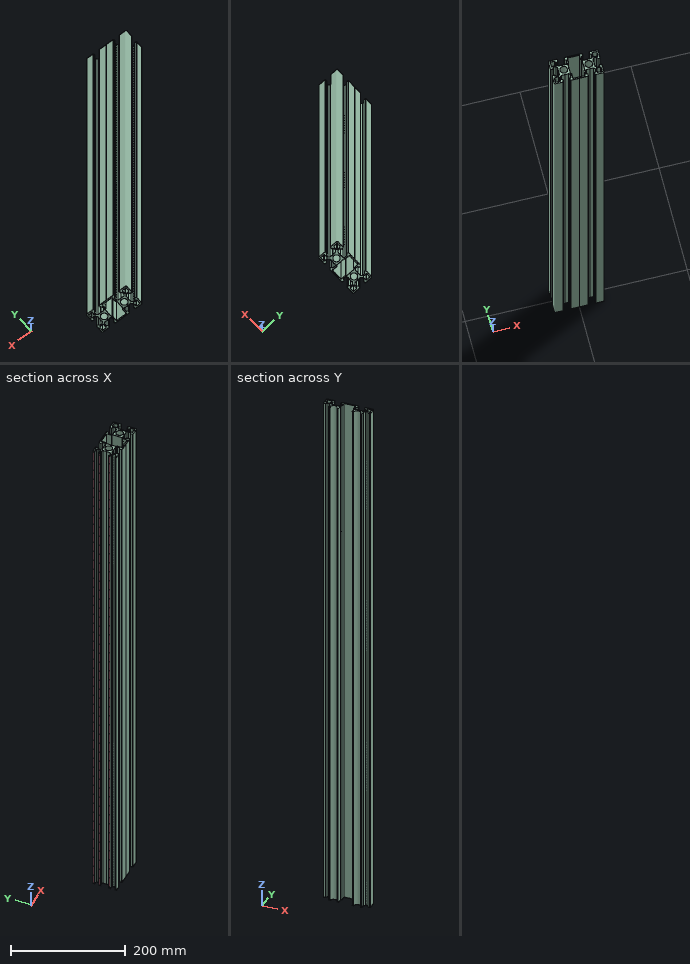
import cadquery as cq

length = 1000.0
width = 90.0
depth = 45.0
corner_radius = 2.0

slot_x = width / 4
slot_mouth = 12.0
mouth_chamfer = 1.0
lip_edge = 4.5
lip_root = 6.0
slot_width = 18.0
slot_depth = 13.0
slot_floor_chamfer = 2.5

groove_width = 0.5
groove_depth = 0.17

bore_diameter = 13.0
corner_cavity = 8.5
corner_cavity_chamfer = 1.0
corner_wall = 3.0
chamber_height = 40.0
chamber_waist_height = 20.0
chamber_waist_width = 26.0
chamber_neck_width = 22.0


def prism(points):
    """Full-length prism with the given outline."""
    return cq.Workplane("XY").polyline(points).close().extrude(length)


def bar(x_size, y_size):
    """Full-length rectangular bar centred on the Z axis."""
    return cq.Workplane("XY").rect(x_size, y_size).extrude(length)


def slot_cutter():
    """T-slot for a face at y = 0, opening toward +Y, with a V-groove in its floor."""
    mouth = slot_mouth / 2
    half = slot_width / 2
    right = [
        (groove_width / 2, -slot_depth),
        (half - slot_floor_chamfer, -slot_depth),
        (half, -slot_depth + slot_floor_chamfer),
        (half, -lip_root),
        (mouth, -lip_edge),
        (mouth, -mouth_chamfer),
        (mouth + mouth_chamfer, 0),
    ]
    left = [(-x, y) for x, y in reversed(right)]
    groove_tip = (0, -slot_depth - groove_depth)
    return prism([groove_tip] + right + left)


def groove_cutter():
    """V-groove for a face at y = 0."""
    half = groove_width / 2
    return prism([(-half, 0), (half, 0), (0, -groove_depth)])


def corner_cavity_cutter():
    """Square cavity centred on the Z axis, chamfered except at its +X +Y corner."""
    half = corner_cavity / 2
    inner = half - corner_cavity_chamfer
    return prism(
        [
            (half, half),
            (-inner, half),
            (-half, inner),
            (-half, -inner),
            (-inner, -half),
            (inner, -half),
            (half, -inner),
        ]
    )


def place(cutter, angle, x, y):
    """Turn a cutter about Z, then move it to its place."""
    return cutter.rotate((0, 0, 0), (0, 0, 1), angle).translate((x, y, 0))


result = bar(width, depth).edges("|Z").fillet(corner_radius)

for angle, side in ((0, 1), (180, -1)):
    long_face_y = side * depth / 2
    short_face_x = side * width / 2
    result = result.cut(place(groove_cutter(), angle, 0, long_face_y))
    for x in (-slot_x, slot_x):
        result = result.cut(place(slot_cutter(), angle, x, long_face_y))
    result = result.cut(place(slot_cutter(), angle - 90, short_face_x, 0))

result = result.cut(bar(chamber_neck_width, chamber_height))
result = result.cut(bar(chamber_waist_width, chamber_waist_height))

bores = cq.Workplane("XY").pushPoints([(-slot_x, 0), (slot_x, 0)]).circle(bore_diameter / 2).extrude(length)
result = result.cut(bores)

cavity_x = width / 2 - corner_wall - corner_cavity / 2
cavity_y = depth / 2 - corner_wall - corner_cavity / 2
corners = ((0, 1, 1), (90, -1, 1), (180, -1, -1), (270, 1, -1))
for angle, x_side, y_side in corners:
    result = result.cut(place(corner_cavity_cutter(), angle, x_side * cavity_x, y_side * cavity_y))